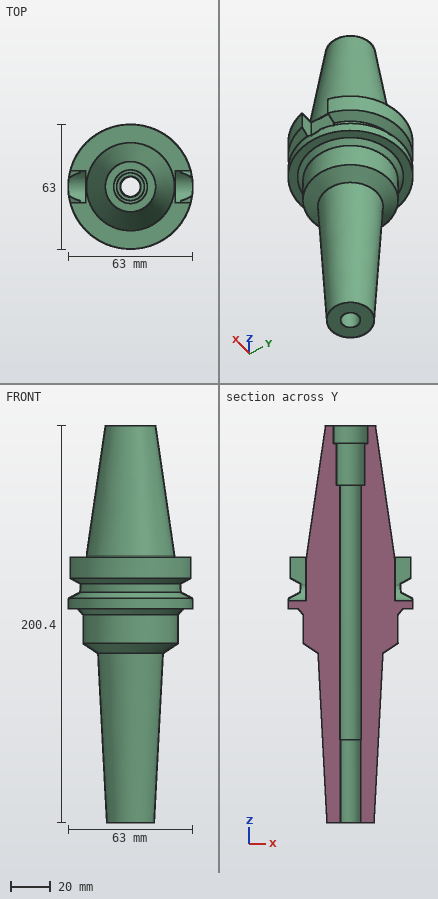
import cadquery as cq
import math


GAUGE_RADIUS = 44.45 / 2
TAPER_LENGTH = 65.4
TAPER_SLOPE = 7 / 48
TAPER_END_RADIUS = GAUGE_RADIUS - TAPER_LENGTH * TAPER_SLOPE

FLANGE_RADIUS = 63 / 2
FLANGE_TOP_Z = -1.0
FLANGE_BOTTOM_Z = -27.0
GROOVE_CENTER_Z = -16.6
GROOVE_MOUTH_WIDTH = 10.1
GROOVE_FLOOR_RADIUS = 26.5
GROOVE_FLANK_ANGLE = 30.0
GROOVE_FLANK_HEIGHT = (FLANGE_RADIUS - GROOVE_FLOOR_RADIUS) * math.tan(math.radians(GROOVE_FLANK_ANGLE))
GROOVE_FLOOR_WIDTH = GROOVE_MOUTH_WIDTH - 2 * GROOVE_FLANK_HEIGHT

COLLAR_RADIUS = 24.0
COLLAR_CONE_RADIUS = 26.7
COLLAR_CONE_HEIGHT = 3.0
COLLAR_TOP_Z = FLANGE_BOTTOM_Z - COLLAR_CONE_HEIGHT
COLLAR_BOTTOM_Z = -44.5
SHOULDER_HEIGHT = 5.0

NOSE_TIP_Z = -135.0
NOSE_TIP_RADIUS = 12.0
NOSE_HALF_ANGLE = 3.0
NOSE_TOP_Z = COLLAR_BOTTOM_Z - SHOULDER_HEIGHT
NOSE_TOP_RADIUS = NOSE_TIP_RADIUS + (NOSE_TOP_Z - NOSE_TIP_Z) * math.tan(math.radians(NOSE_HALF_ANGLE))

KEYWAY_WIDTH = 16.1
KEYWAY_BOTTOM_Z = -22.9
KEYWAY_FLOOR_X = 22.5

COUNTERBORE_RADIUS = 17.0 / 2
COUNTERBORE_DEPTH = 9.0
THREAD_BORE_RADIUS = 14.0 / 2
THREAD_BORE_DEPTH = 30.0
RELIEF_BORE_RADIUS = 10.5 / 2
CLAMP_BORE_RADIUS = 10.0 / 2
CLAMP_BORE_LENGTH = 42.0


def make_body():
    """Solid of revolution: taper, flange with groove, collar and nose."""
    floor_half = GROOVE_FLOOR_WIDTH / 2
    mouth_half = GROOVE_MOUTH_WIDTH / 2
    profile = [
        (0, TAPER_LENGTH),
        (TAPER_END_RADIUS, TAPER_LENGTH),
        (GAUGE_RADIUS, 0),
        (GAUGE_RADIUS, FLANGE_TOP_Z),
        (FLANGE_RADIUS, FLANGE_TOP_Z),
        (FLANGE_RADIUS, GROOVE_CENTER_Z + mouth_half),
        (GROOVE_FLOOR_RADIUS, GROOVE_CENTER_Z + floor_half),
        (GROOVE_FLOOR_RADIUS, GROOVE_CENTER_Z - floor_half),
        (FLANGE_RADIUS, GROOVE_CENTER_Z - mouth_half),
        (FLANGE_RADIUS, FLANGE_BOTTOM_Z),
        (COLLAR_CONE_RADIUS, FLANGE_BOTTOM_Z),
        (COLLAR_RADIUS, COLLAR_TOP_Z),
        (COLLAR_RADIUS, COLLAR_BOTTOM_Z),
        (NOSE_TOP_RADIUS, NOSE_TOP_Z),
        (NOSE_TIP_RADIUS, NOSE_TIP_Z),
        (0, NOSE_TIP_Z),
    ]
    return cq.Workplane("XZ").polyline(profile).close().revolve(360, (0, 0), (0, 1))


def make_bore():
    """Stepped bore, open at both ends."""
    overall_length = TAPER_LENGTH - NOSE_TIP_Z
    steps = [
        (COUNTERBORE_RADIUS, COUNTERBORE_DEPTH),
        (THREAD_BORE_RADIUS, THREAD_BORE_DEPTH),
        (RELIEF_BORE_RADIUS, overall_length - CLAMP_BORE_LENGTH),
        (CLAMP_BORE_RADIUS, overall_length),
    ]
    bore = cq.Workplane("XY")
    for radius, depth in steps:
        step = cq.Workplane("XY").workplane(offset=TAPER_LENGTH).circle(radius).extrude(-depth)
        bore = bore.add(step)
    return bore.combine()


def make_keyway(side):
    """Round-ended slot through the flange rim; side is +1 or -1 along X."""
    half_width = KEYWAY_WIDTH / 2
    arc_center_z = KEYWAY_BOTTOM_Z + half_width
    return (
        cq.Workplane("YZ", origin=(side * KEYWAY_FLOOR_X, 0, 0))
        .moveTo(-half_width, FLANGE_TOP_Z)
        .lineTo(-half_width, arc_center_z)
        .threePointArc((0, KEYWAY_BOTTOM_Z), (half_width, arc_center_z))
        .lineTo(half_width, FLANGE_TOP_Z)
        .close()
        .extrude(side * FLANGE_RADIUS)
    )


result = make_body().cut(make_bore())
for keyway_side in (-1, 1):
    result = result.cut(make_keyway(keyway_side))